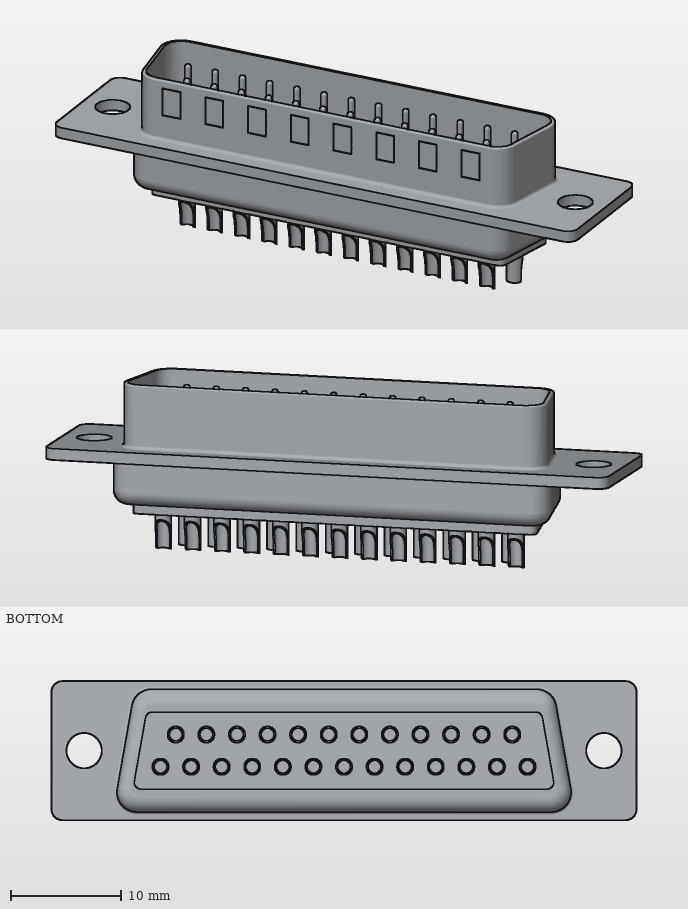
import cadquery as cq
import math


flange_length = 53.0
flange_width = 12.6
flange_thickness = 1.05
flange_corner_radius = 1.0
mount_hole_diameter = 3.2
mount_hole_spacing = 47.05

side_slant = math.radians(10)
front_shell = dict(half_width=19.45, half_height=4.6, corner_radius=1.95)
rear_shell = dict(half_width=19.95, half_height=5.55, corner_radius=1.8)
insert_tail = dict(half_width=18.5, half_height=3.5, corner_radius=0.65)

front_shell_height = 5.9
wall_thickness = 0.35
rim_round = 0.15
front_root_fillet = 0.3
rear_shell_height = 4.1
rear_edge_round = 1.25
rear_root_fillet = 0.25
insert_tail_height = 1.0
insert_face_z = -0.15

dimple_count = 8
dimple_pitch = 4.35
dimple_width = 1.8
dimple_height = 2.65
dimple_depth = 0.1
dimple_top_gap = 0.8

long_row_span = 33.25
row_spacing = 2.9
long_row_count = 13
short_row_count = long_row_count - 1
contact_pitch = long_row_span / (long_row_count - 1)
pin_radius = 0.29
pin_tip_round = 0.25
pin_top_z = 5.05

cup_radius = 0.75
cup_bore_radius = 0.6
cup_length = 3.5
scoop_start = 0.7
scoop_radius = 2.4
scoop_past_axis = 0.1
cup_lip_chamfer = 0.15

selection_margin = 0.05

flange_bottom_z = -flange_thickness
rear_shell_z = flange_bottom_z - rear_shell_height
insert_tail_z = rear_shell_z - insert_tail_height
cup_end_z = insert_tail_z - cup_length


def d_prism(half_width, half_height, corner_radius, z_bottom, z_top):
    """Prism with a rounded trapezoid outline, wider towards +Y."""
    slant_shift = half_height * math.tan(side_slant)
    wide = half_width + slant_shift
    narrow = half_width - slant_shift
    corners = [
        (-narrow, -half_height),
        (narrow, -half_height),
        (wide, half_height),
        (-wide, half_height),
    ]
    outline = cq.Workplane("XY", origin=(0, 0, z_bottom)).polyline(corners).close()
    prism = outline.extrude(z_top - z_bottom)
    return prism.edges("|Z").fillet(corner_radius)


def inset(outline, distance):
    """The same D outline moved inwards by a constant distance."""
    return dict(
        half_width=outline["half_width"] - distance / math.cos(side_slant),
        half_height=outline["half_height"] - distance,
        corner_radius=outline["corner_radius"] - distance,
    )


def make_flange():
    plate = cq.Workplane("XY", origin=(0, 0, flange_bottom_z)).box(
        flange_length, flange_width, flange_thickness, centered=(True, True, False)
    )
    return plate.edges("|Z").fillet(flange_corner_radius)


def root_edges(outline, z):
    """Selector for the edges where a shell of the given outline meets the flange face at height z."""
    reach_x = outline["half_width"] + outline["half_height"]
    reach_y = outline["half_height"] + selection_margin
    low_corner = (-reach_x, -reach_y, z - selection_margin)
    high_corner = (reach_x, reach_y, z + selection_margin)
    return cq.selectors.BoxSelector(low_corner, high_corner, boundingbox=True)


def add_shells(body):
    """Front shell above the flange and rear shell below it, with their root fillets."""
    front = d_prism(**front_shell, z_bottom=flange_bottom_z, z_top=front_shell_height)
    front = front.faces(">Z").edges().fillet(rim_round)
    rear = d_prism(**rear_shell, z_bottom=rear_shell_z, z_top=0)
    rear = rear.faces("<Z").edges().fillet(rear_edge_round)
    body = body.union(front).union(rear)

    body = body.edges(root_edges(front_shell, 0)).fillet(front_root_fillet)
    return body.edges(root_edges(rear_shell, flange_bottom_z)).fillet(rear_root_fillet)


def make_mount_holes():
    cutter = cq.Workplane("XY", origin=(0, 0, flange_bottom_z))
    cutter = cutter.pushPoints([(-mount_hole_spacing / 2, 0), (mount_hole_spacing / 2, 0)])
    return cutter.circle(mount_hole_diameter / 2).extrude(flange_thickness)


def make_dimples():
    wall_y = -front_shell["half_height"]
    centre_z = front_shell_height - dimple_top_gap - dimple_height / 2
    row = cq.Workplane("XY", origin=(0, wall_y, centre_z)).rarray(dimple_pitch, 0.55, dimple_count, 1)
    return row.box(dimple_width, 2 * dimple_depth, dimple_height)


def make_contact():
    """Contact on the Z axis: a round pin on top, a solder cup open towards +Y below."""
    pin_length = pin_top_z - insert_tail_z
    pin = cq.Workplane("XY", origin=(0, 0, insert_tail_z)).circle(pin_radius).extrude(pin_length)
    pin = pin.faces(">Z").edges().fillet(pin_tip_round)

    cup = cq.Workplane("XY", origin=(0, 0, cup_end_z)).circle(cup_radius).extrude(cup_length)
    bore = cq.Workplane("XY", origin=(0, 0, cup_end_z)).circle(cup_bore_radius).extrude(cup_length)

    scoop_depth = cup_radius + scoop_past_axis
    drop = math.sqrt(scoop_radius**2 - (scoop_radius - scoop_depth) ** 2)
    start_z = insert_tail_z - scoop_start
    tangent_z = start_z - drop
    half_angle = math.asin(drop / scoop_radius) / 2
    arc_middle = (
        scoop_radius * (1 - math.cos(half_angle)) - scoop_past_axis,
        tangent_z + scoop_radius * math.sin(half_angle),
    )
    scoop = (
        cq.Workplane("YZ", origin=(-cup_radius, 0, 0))
        .moveTo(cup_radius, start_z)
        .threePointArc(arc_middle, (-scoop_past_axis, tangent_z))
        .lineTo(-scoop_past_axis, cup_end_z + cup_lip_chamfer)
        .lineTo(-scoop_past_axis - cup_lip_chamfer, cup_end_z)
        .lineTo(cup_radius, cup_end_z)
        .close()
        .extrude(2 * cup_radius)
    )
    return pin.union(cup.cut(bore).cut(scoop))


def add_contact_row(body, contact, count, y):
    first_x = -contact_pitch * (count - 1) / 2
    for index in range(count):
        body = body.union(contact.translate((first_x + index * contact_pitch, y, 0)))
    return body


shell_cavity = d_prism(
    **inset(front_shell, wall_thickness), z_bottom=insert_face_z, z_top=front_shell_height
)
insert_tail_block = d_prism(**insert_tail, z_bottom=insert_tail_z, z_top=flange_bottom_z)

result = add_shells(make_flange())
result = result.cut(shell_cavity).cut(make_mount_holes()).cut(make_dimples())
result = result.union(insert_tail_block)

long_row_contact = make_contact()
short_row_contact = long_row_contact.rotate((0, 0, 0), (0, 0, 1), 180)
result = add_contact_row(result, long_row_contact, long_row_count, row_spacing / 2)
result = add_contact_row(result, short_row_contact, short_row_count, -row_spacing / 2)